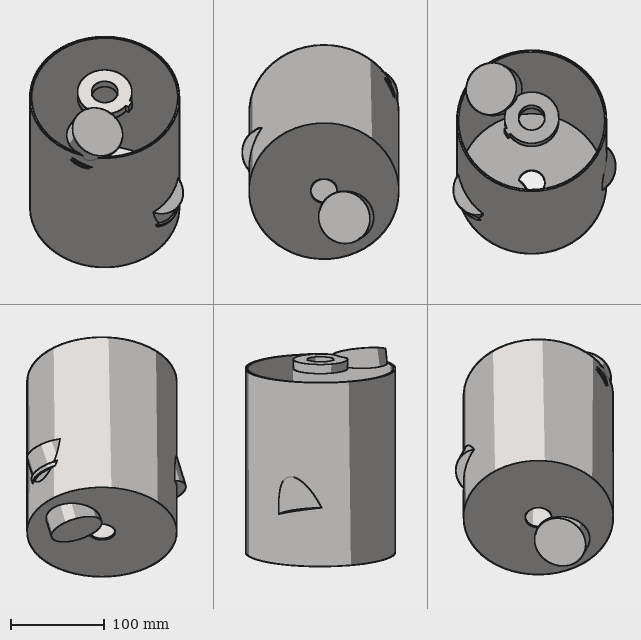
import cadquery as cq
import math

shell_diameter = 160.0
cavity_diameter = 156.0
shell_height = 200.0
floor_thickness = (shell_diameter - cavity_diameter) / 2

hub_diameter = 58.0
bore_diameter = 28.0
hub_height = 10.0
key_tip_radius = 32.0
key_width = 8.0

barrel_count = 3
barrel_diameter = 56.0
barrel_length = 95.0
lean_angle = 20.0
spiral_radius = 50.0
golden_angle = 180 * (3 - math.sqrt(5))
spiral_rise = shell_height / barrel_count
collar_diameter = 61.0
collar_thickness = 4.8
collar_drop = 25.1


def make_barrel(index):
    """A collared solid barrel leaning toward +X, centred on its spiral station."""
    barrel = cq.Workplane("XY").circle(barrel_diameter / 2).extrude(barrel_length / 2, both=True)
    collar_bottom = barrel_length / 2 - collar_drop - collar_thickness
    collar = (
        cq.Workplane("XY")
        .workplane(offset=collar_bottom)
        .circle(collar_diameter / 2)
        .extrude(collar_thickness)
    )
    spiral_angle = math.radians(index * golden_angle)
    station = (
        spiral_radius * math.cos(spiral_angle),
        spiral_radius * math.sin(spiral_angle),
        (index + 0.5) * spiral_rise,
    )
    return barrel.union(collar).rotate((0, 0, 0), (0, 1, 0), lean_angle).translate(station)


def make_hub():
    """The bored ring with a rectangular key on its +X side."""
    rim_plane = cq.Workplane("XY").workplane(offset=shell_height)
    ring = rim_plane.circle(hub_diameter / 2).extrude(hub_height)
    key = rim_plane.center(key_tip_radius / 2, 0).rect(key_tip_radius, key_width).extrude(hub_height)
    bore = rim_plane.circle(bore_diameter / 2).extrude(hub_height)
    return ring.union(key).cut(bore)


body = cq.Workplane("XY").circle(shell_diameter / 2).circle(bore_diameter / 2).extrude(shell_height)
for barrel_index in range(barrel_count):
    body = body.union(make_barrel(barrel_index))

cavity = (
    cq.Workplane("XY")
    .workplane(offset=floor_thickness)
    .circle(cavity_diameter / 2)
    .extrude(shell_height - floor_thickness)
)
result = body.cut(cavity).union(make_hub())